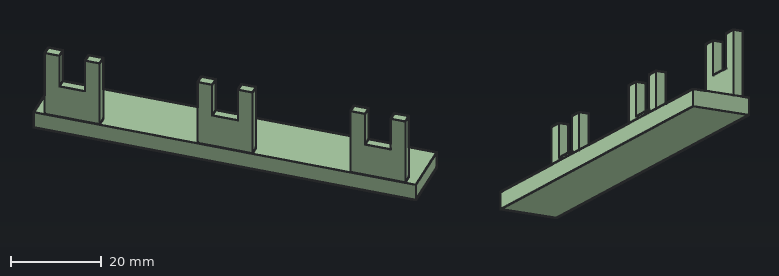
import cadquery as cq

BASE_LENGTH = 89.4
BASE_DEPTH = 14.0
BASE_HEIGHT = 4.0

TOTAL_HEIGHT = 20.0
FORK_COUNT = 3
FORK_WIDTH = 12.9
FORK_THICKNESS = 2.4
FORK_HEIGHT = TOTAL_HEIGHT - BASE_HEIGHT
FORK_PITCH = 35.8
FIRST_FORK_OFFSET = (BASE_LENGTH - (FORK_COUNT - 1) * FORK_PITCH - FORK_WIDTH) / 2
FORK_SETBACK = 0.2

SLOT_WIDTH = 6.0
SLOT_DEPTH = 8.05
SLOT_BOTTOM = FORK_HEIGHT - SLOT_DEPTH
PRONG_WIDTH = (FORK_WIDTH - SLOT_WIDTH) / 2


def make_base():
    """Rectangular plate with its front left bottom corner at the origin."""
    return cq.Workplane("XY").box(BASE_LENGTH, BASE_DEPTH, BASE_HEIGHT, centered=False)


def make_fork(left):
    """Slotted upright resting on the base, with its left side at X = left."""
    blank = cq.Workplane("XY").box(FORK_WIDTH, FORK_THICKNESS, FORK_HEIGHT, centered=False)
    slot = (
        cq.Workplane("XY")
        .box(SLOT_WIDTH, FORK_THICKNESS, SLOT_DEPTH, centered=False)
        .translate((PRONG_WIDTH, 0, SLOT_BOTTOM))
    )
    return blank.cut(slot).translate((left, FORK_SETBACK, BASE_HEIGHT))


base = make_base()
forks = [make_fork(FIRST_FORK_OFFSET + i * FORK_PITCH) for i in range(FORK_COUNT)]

result = cq.Compound.makeCompound([base.val(), *[fork.val() for fork in forks]])